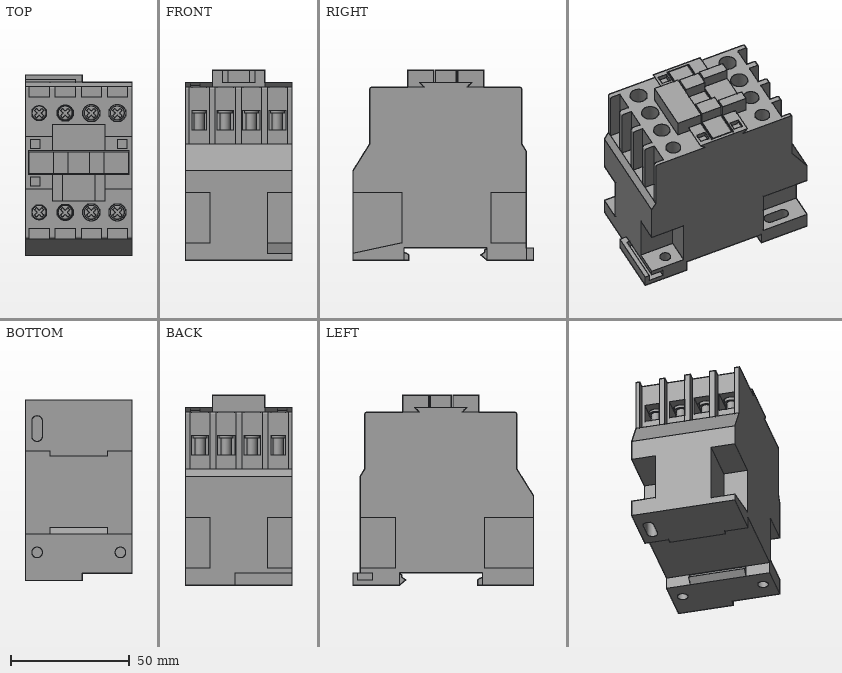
import cadquery as cq


width = 45.0
half_width = width / 2
rear_y = 73.0
top_z = 72.8
terminal_front_y = 7.0
terminal_rear_y = 71.0
middle_y = (terminal_front_y + terminal_rear_y) / 2
terminal_floor_z = 49.0
front_slope_foot_z = 37.7
rear_slope_foot_z = 45.8
edge_radius = 1.0

rail_ceiling_z = 5.2
front_foot_end_y = 21.5
rear_foot_end_y = 56.4
hook_tip_y = 23.5
hook_shoulder_y = 22.6
hook_tip_z = 2.2
hook_shoulder_z = 3.0
hook_root_z = 3.4
catch_tip_y = 53.8
catch_shoulder_y = 55.4
catch_tip_z = 2.2
catch_shoulder_low_z = 3.4
catch_shoulder_high_z = 4.4
catch_root_z = 5.0
slider_right_x = 1.5
slider_rear_y = 76.0
slider_groove_right_x = -1.4
slider_groove_floor_z = 2.2
slider_groove_front_y = 67.7
slider_groove_rear_y = 74.1

recess_width = 10.3
recess_floor_z = 7.4
recess_top_z = 28.6
front_recess_end_y = 20.6
rear_recess_end_y = 58.0
sloped_floor_front_z = 3.0
mount_x = 17.5
mount_diameter = 4.5
front_mount_y = 12.1
rear_mount_y = 64.2
front_slot_length = 10.8

pole_pitch = 11.0
first_pole_x = -16.6
pole_xs = [first_pole_x + i * pole_pitch for i in range(4)]
channel_widths = [8.7, 8.7, 8.4, 8.4]
well_diameters = [6.2, 6.8, 7.2, 7.2]
channel_depth = 4.3
screw_setback = 11.1
window_bottom_z = 54.9
window_top_z = 63.0
head_bottom_z = 61.9
head_height = 3.2
head_diameter = 5.9
shank_diameter = 4.3
cross_length = 4.4
cross_width = 1.2
cross_depth = 1.2
head_edge_radius = 0.6

bar_top_z = 74.8
bar_top_depth = 22.0
bar_root_depth = 18.0
block_width = 22.1
block_depth = 32.0
block_top_z = 80.0
front_notch_width = 13.8
carriage_width = 41.9
carriage_depth = 9.0
carriage_tower_width = 21.4
carriage_notch_width = 9.2
carriage_side_gap = 0.2
carriage_end_gap = 0.6
gap_depth = 0.8
marker_pocket_size = 3.8
marker_pocket_x = 18.3
marker_pocket_offset_y = 7.8


def box(x0, x1, y0, y1, z0, z1):
    return cq.Workplane("XY").box(x1 - x0, y1 - y0, z1 - z0, centered=False).translate((x0, y0, z0))


def centred_box(x_size, y_size, z0, z1, x=0, y=middle_y):
    return box(x - x_size / 2, x + x_size / 2, y - y_size / 2, y + y_size / 2, z0, z1)


def across(points, x0, x1):
    """Extrude a (Y, Z) outline along X from x0 to x1."""
    return cq.Workplane("YZ").workplane(offset=x0).polyline(points).close().extrude(x1 - x0)


def upright_cylinder(diameter, x, y, z0, z1):
    return cq.Workplane("XY").workplane(offset=z0).center(x, y).circle(diameter / 2).extrude(z1 - z0)


def housing():
    outline = [
        (0, 0),
        (front_foot_end_y, 0),
        (front_foot_end_y, rail_ceiling_z),
        (rear_foot_end_y, rail_ceiling_z),
        (rear_foot_end_y, 0),
        (rear_y, 0),
        (rear_y, rear_slope_foot_z),
        (terminal_rear_y, terminal_floor_z),
        (terminal_rear_y, top_z),
        (terminal_front_y, top_z),
        (terminal_front_y, terminal_floor_z),
        (0, front_slope_foot_z),
    ]
    body = across(outline, -half_width, half_width)
    return body.edges("|X").edges(">Z").fillet(edge_radius)


def slider():
    return box(-half_width, slider_right_x, rear_foot_end_y, slider_rear_y, 0, rail_ceiling_z)


def slider_groove():
    return box(
        -half_width, slider_groove_right_x,
        slider_groove_front_y, slider_groove_rear_y,
        slider_groove_floor_z, rail_ceiling_z,
    )


def rail_hooks():
    """Fixed hook on the front foot and pointed catch on the rear foot, between the recesses."""
    reach = half_width - recess_width
    fixed_hook = [
        (front_foot_end_y, 0),
        (hook_tip_y, 0),
        (hook_tip_y, hook_tip_z),
        (hook_shoulder_y, hook_shoulder_z),
        (front_foot_end_y, hook_root_z),
    ]
    catch = [
        (rear_foot_end_y, 0),
        (catch_tip_y, catch_tip_z),
        (catch_shoulder_y, catch_shoulder_low_z),
        (catch_shoulder_y, catch_shoulder_high_z),
        (rear_foot_end_y, catch_root_z),
    ]
    return across(fixed_hook, -reach, reach).union(across(catch, -reach, reach))


def corner_recesses():
    inner_x = half_width - recess_width
    front_left = box(-half_width, -inner_x, 0, front_recess_end_y, recess_floor_z, recess_top_z)
    sloped_outline = [
        (0, sloped_floor_front_z),
        (front_recess_end_y, recess_floor_z),
        (front_recess_end_y, recess_top_z),
        (0, recess_top_z),
    ]
    front_right = across(sloped_outline, inner_x, half_width)
    rear_left = box(-half_width, -inner_x, rear_recess_end_y, rear_y, recess_floor_z, recess_top_z)
    rear_right = rear_left.mirror("YZ")
    return front_left.union(front_right).union(rear_left).union(rear_right)


def mounting_holes():
    """A slot in the level front floor and a round hole in each rear floor."""
    slot = (
        cq.Workplane("XY")
        .center(-mount_x, front_mount_y)
        .slot2D(front_slot_length, mount_diameter, 90)
        .extrude(recess_floor_z)
    )
    holes = (
        cq.Workplane("XY")
        .pushPoints([(x, rear_mount_y) for x in (-mount_x, mount_x)])
        .circle(mount_diameter / 2)
        .extrude(recess_floor_z)
    )
    return slot.union(holes)


def screw(x, y):
    head_top_z = head_bottom_z + head_height
    shank = upright_cylinder(shank_diameter, x, y, window_bottom_z, head_bottom_z)
    head = upright_cylinder(head_diameter, x, y, head_bottom_z, head_top_z)
    head = head.edges(">Z").fillet(head_edge_radius)
    arm = (
        cq.Workplane("XY")
        .workplane(offset=head_top_z - cross_depth)
        .center(x, y)
        .rect(cross_length, cross_width)
        .extrude(cross_depth)
    )
    for angle in (-45, 45):
        head = head.cut(arm.rotate((x, y, 0), (x, y, 1), angle))
    return shank.union(head)


def front_terminal_cut(x, channel_width, well_diameter):
    """Wire channel, screw well and the window joining them, for one front pole."""
    channel_end_y = terminal_front_y + channel_depth
    screw_y = terminal_front_y + screw_setback
    channel = box(
        x - channel_width / 2, x + channel_width / 2,
        terminal_front_y, channel_end_y,
        terminal_floor_z, top_z,
    )
    window = box(
        x - well_diameter / 2, x + well_diameter / 2,
        channel_end_y, screw_y + well_diameter / 2,
        window_bottom_z, window_top_z,
    )
    well = upright_cylinder(well_diameter, x, screw_y, window_bottom_z, top_z)
    return channel.union(window).union(well)


def front_to_rear(shape):
    return shape.mirror("XZ", (0, middle_y, 0))


def add_terminals(body):
    screw_y = terminal_front_y + screw_setback
    for x, channel_width, well_diameter in zip(pole_xs, channel_widths, well_diameters):
        front_cut = front_terminal_cut(x, channel_width, well_diameter)
        front_screw = screw(x, screw_y)
        body = body.cut(front_cut).cut(front_to_rear(front_cut))
        body = body.union(front_screw).union(front_to_rear(front_screw))
    return body


def dovetail_bar():
    outline = [
        (middle_y - bar_root_depth / 2, top_z),
        (middle_y + bar_root_depth / 2, top_z),
        (middle_y + bar_top_depth / 2, bar_top_z),
        (middle_y - bar_top_depth / 2, bar_top_z),
    ]
    return across(outline, -half_width, half_width)


def centre_block():
    block = centred_box(block_width, block_depth, top_z, block_top_z)
    notch = box(
        -front_notch_width / 2, front_notch_width / 2,
        middle_y - block_depth / 2, middle_y,
        bar_top_z, block_top_z,
    )
    return block.cut(notch)


def carriage_well():
    return centred_box(
        carriage_width + 2 * carriage_side_gap,
        carriage_depth + 2 * carriage_end_gap,
        bar_top_z - gap_depth, block_top_z,
    )


def carriage():
    base = centred_box(carriage_width, carriage_depth, bar_top_z - gap_depth, bar_top_z)
    tower = centred_box(carriage_tower_width, carriage_depth, bar_top_z, block_top_z)
    notch = centred_box(carriage_notch_width, carriage_depth, bar_top_z, block_top_z)
    return base.union(tower.cut(notch))


def marker_pockets():
    """Square pockets in the bar at the two rear corners and the front left corner."""
    pockets = cq.Workplane("XY")
    for side_x, side_y in [(-1, 1), (1, 1), (-1, -1)]:
        pockets = pockets.union(centred_box(
            marker_pocket_size, marker_pocket_size,
            top_z, bar_top_z,
            side_x * marker_pocket_x, middle_y + side_y * marker_pocket_offset_y,
        ))
    return pockets


body = housing().union(slider()).cut(slider_groove()).union(rail_hooks())
body = body.cut(corner_recesses()).cut(mounting_holes())
body = add_terminals(body)
body = body.union(dovetail_bar()).union(centre_block())
result = body.cut(carriage_well()).union(carriage()).cut(marker_pockets())